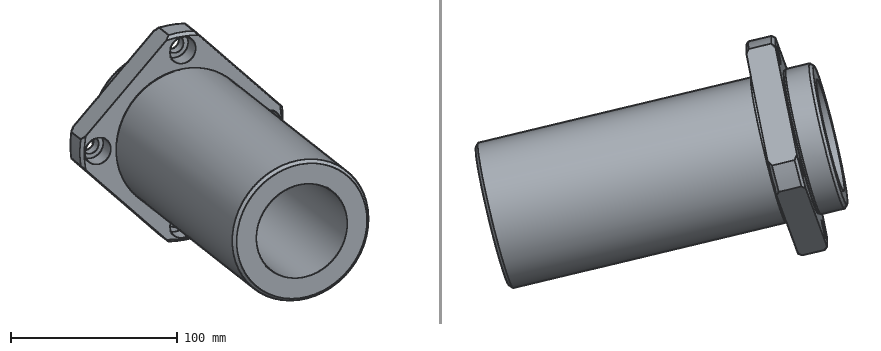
import cadquery as cq

barrel_length = 209.0
barrel_diameter = 90.0
end_chamfer = 2.0

flange_diameter = 134.0
flange_thickness = 18.0
flange_chamfer = 2.0
flange_across_flats = 106.0
pilot_length = 18.0

pilot_relief_depth = 0.85
pilot_relief_width = 1.5
pilot_relief_taper = 1.25
rear_relief_depth = 1.5
rear_relief_width = 2.1

bore_diameter = 60.0
seal_seat_diameter = 69.0
seal_seat_depth = 5.0

bolt_circle_diameter = 112.0
bolt_hole_diameter = 11.0
bolt_head_diameter = 17.0
bolt_head_depth = 11.1
bolt_count = 4

front_x = -barrel_length / 2
rear_x = barrel_length / 2
flange_front_x = front_x + pilot_length
flange_rear_x = flange_front_x + flange_thickness


def cylinder(diameter, start_x, length):
    """Cylinder on the X axis, growing toward +X from start_x."""
    return cq.Workplane("YZ", origin=(start_x, 0, 0)).circle(diameter / 2).extrude(length)


def make_barrel():
    """Solid turned barrel with chamfered ends and a relief on each side of the flange."""
    radius = barrel_diameter / 2
    pilot_relief_radius = radius - pilot_relief_depth
    rear_relief_radius = radius - rear_relief_depth
    end_radius = radius - end_chamfer
    pilot_relief_x = flange_front_x - pilot_relief_width
    profile = (
        cq.Workplane("XY")
        .moveTo(front_x, 0)
        .lineTo(front_x, end_radius)
        .lineTo(front_x + end_chamfer, radius)
        .lineTo(pilot_relief_x, radius)
        .lineTo(pilot_relief_x + pilot_relief_taper, pilot_relief_radius)
        .lineTo(flange_front_x, pilot_relief_radius)
        .lineTo(flange_rear_x, rear_relief_radius)
        .lineTo(flange_rear_x + rear_relief_width, radius)
        .lineTo(rear_x - end_chamfer, radius)
        .lineTo(rear_x, end_radius)
        .lineTo(rear_x, 0)
        .close()
    )
    return profile.revolve(360, (0, 0, 0), (1, 0, 0))


def make_flange():
    """Disc with chamfered rims, cut down to four flats with the round rim left at the corners."""
    disc = cylinder(flange_diameter, flange_front_x, flange_thickness).edges().chamfer(flange_chamfer)
    square = (
        cq.Workplane("YZ", origin=(flange_front_x, 0, 0))
        .rect(flange_across_flats, flange_across_flats)
        .extrude(flange_thickness)
        .rotate((0, 0, 0), (1, 0, 0), 45)
    )
    return disc.intersect(square)


def make_bolt_hole_cutter():
    """Through holes at the flange corners, with bolt-head counterbores on the long barrel side."""
    bolt_head_x = flange_rear_x - bolt_head_depth
    shank = cylinder(bolt_hole_diameter, flange_front_x, flange_thickness)
    head = cylinder(bolt_head_diameter, bolt_head_x, bolt_head_depth)
    first_hole = shank.union(head).translate((0, 0, bolt_circle_diameter / 2))
    cutter = first_hole
    for index in range(1, bolt_count):
        angle = index * 360 / bolt_count
        cutter = cutter.union(first_hole.rotate((0, 0, 0), (1, 0, 0), angle))
    return cutter


body = make_barrel().union(make_flange().cut(make_bolt_hole_cutter()))
body = body.cut(cylinder(bore_diameter, front_x, barrel_length))
result = body.cut(cylinder(seal_seat_diameter, front_x, seal_seat_depth))